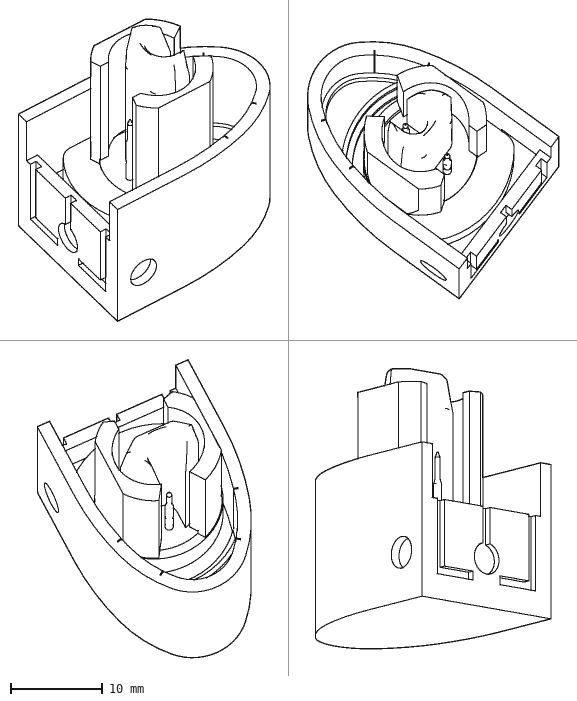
import cadquery as cq
import math

width = 18.4
depth = 26.0
height = 28.3
clearance = 0.1

wall = 1.5
shell_height = 17.32
front_wall_height = 11.3
side_radius = 31.13
shoulder_radius = 15.45
flank_angle = 16.6
shoulder_angle = 42.4

shelf_z = 7.0
ledge_z = 6.0
pocket_floor_z = 5.0
lens_offset = 1.13
ledge_lens_radius = 9.65
floor_lens_radius = 8.95
rib = 0.5
slit_width = 0.1
slit_depth = 0.5
flank_slit_angle = 13.8
shoulder_slit_angle = 35.4

slot_width = 1.0
slot_depth = 0.8
slot_reach = 7.0
slot_bottom = 2.83
slot_foot = 5.07
recess_radius = 1.75
recess_z = 5.52
side_recess_y = 3.55
side_recess_depth = 1.1

socket_y = 11.4
plate_top = 10.67
plate_half_width = 7.0
plate_front_radius = 10.65
plate_corner = 2.0
plate_half_x = 7.22
plate_half_y = 6.6
arm_top = 25.8
arm_inner_x = 5.18
arm_inner_y = 4.55
arm_flat_x = 6.0
flare_start_z = 13.6
flare_angle = 11.6
front_gap_half = 3.0
front_gap_y = 6.6
front_end_x = 4.33
front_end_y = 6.15
back_gap_inner_x = 1.73
back_gap_inner_y = 15.7
back_gap_outer_x = 2.91
back_gap_outer_y = 17.45

bore_half_x = 6.2
bore_half_y = 5.55
bore_top = 11.25
core_top = 9.93
tongue_gap = 0.6
tongue_front_y = 9.65
tongue_side_y = 11.32
tongue_front_half = 2.52
tongue_corner = 1.0
taper_z = 24.25
taper_angle = 9.1
tongue_rounding = 0.5
channel_radius = 1.55
channel_y = 13.05

pin_y = (8.43, 14.12)
pin_radius = 0.45
pin_tip_radius = 0.28
pin_groove_radius = 0.4
pin_point_radius = 0.05
pin_groove_start = 11.9
pin_groove_middle = 12.28
pin_groove_end = 12.62
pin_barrel_end = 15.25
pin_tip_start = 15.8
pin_tip_end = 18.23
pin_top = 18.85


def polar(centre, radius, angle):
    """Point at the given radius and angle (degrees) around a centre."""
    return (
        centre[0] + radius * math.cos(math.radians(angle)),
        centre[1] + radius * math.sin(math.radians(angle)),
    )


def mirrored(point):
    return (-point[0], point[1])


def ellipse_prism(half_x, half_y, bottom, top):
    """Upright elliptical prism centred on the socket."""
    return (
        cq.Workplane("XY", origin=(0, socket_y, bottom))
        .ellipse(half_x, half_y)
        .extrude(top - bottom)
    )


def disc(radius, centre_y, bottom, top):
    return cq.Workplane("XY", origin=(0, centre_y, bottom)).circle(radius).extrude(top - bottom)


def lens_prism(radius, bottom, top):
    """Overlap of two discs placed in front of and behind the socket centre."""
    front_disc = disc(radius, socket_y - lens_offset, bottom, top)
    back_disc = disc(radius, socket_y + lens_offset, bottom, top)
    return front_disc.intersect(back_disc)


flank_end_x = width / 2 - side_radius * (1 - math.cos(math.radians(flank_angle)))
shoulder_centre_x = flank_end_x - shoulder_radius * math.cos(math.radians(flank_angle))
nose_radius = shoulder_radius + shoulder_centre_x / math.cos(math.radians(shoulder_angle))
nose_centre = (0, depth - nose_radius)
shoulder_centre = polar(nose_centre, nose_radius - shoulder_radius, shoulder_angle)
flank_centre = polar(shoulder_centre, shoulder_radius - side_radius, flank_angle)


def bullet_prism(inset, front_y, bottom, top):
    """Housing outline moved inwards by the inset, cut square at front_y."""
    flank = side_radius - inset
    shoulder = shoulder_radius - inset
    nose = nose_radius - inset
    flank_start = polar(flank_centre, flank, 0)
    flank_middle = polar(flank_centre, flank, flank_angle / 2)
    flank_end = polar(flank_centre, flank, flank_angle)
    shoulder_middle = polar(shoulder_centre, shoulder, (flank_angle + shoulder_angle) / 2)
    shoulder_end = polar(shoulder_centre, shoulder, shoulder_angle)
    apex = polar(nose_centre, nose, 90)
    return (
        cq.Workplane("XY", origin=(0, 0, bottom))
        .moveTo(flank_start[0], front_y)
        .lineTo(*flank_start)
        .threePointArc(flank_middle, flank_end)
        .threePointArc(shoulder_middle, shoulder_end)
        .threePointArc(apex, mirrored(shoulder_end))
        .threePointArc(mirrored(shoulder_middle), mirrored(flank_end))
        .threePointArc(mirrored(flank_middle), mirrored(flank_start))
        .lineTo(-flank_start[0], front_y)
        .close()
        .extrude(top - bottom)
    )


def make_slits():
    """Fine upright slits, square to the inner wall, two on each side."""
    places = (
        (flank_centre, side_radius - wall, flank_slit_angle),
        (shoulder_centre, shoulder_radius - wall, shoulder_slit_angle),
    )
    slits = cq.Workplane("XY")
    for centre, inner_radius, angle in places:
        x, y = polar(centre, inner_radius, angle)
        slit = (
            cq.Workplane("XY")
            .box(2 * slit_depth, slit_width, shell_height - shelf_z, centered=(True, True, False))
            .rotate((0, 0, 0), (0, 0, 1), angle)
            .translate((x, y, shelf_z))
        )
        slits = slits.add(slit).add(slit.mirror("YZ"))
    return slits.combine()


def make_front_slots():
    """Two mirrored L-shaped slots and one upright slot, all open at the top of the front wall."""
    slot_plane = cq.Workplane("XZ", origin=(0, slot_depth, 0))
    leg_inner = slot_reach - slot_width
    foot_end = slot_reach - slot_foot
    right_slot = (
        slot_plane.moveTo(slot_reach, front_wall_height)
        .lineTo(slot_reach, slot_bottom)
        .lineTo(foot_end, slot_bottom)
        .lineTo(foot_end, slot_bottom + slot_width)
        .lineTo(leg_inner, slot_bottom + slot_width)
        .lineTo(leg_inner, front_wall_height)
        .close()
        .extrude(slot_depth)
    )
    middle_slot = (
        slot_plane.moveTo(-slot_width / 2, recess_z)
        .rect(slot_width, front_wall_height - recess_z, centered=False)
        .extrude(slot_depth)
    )
    round_recess = slot_plane.center(0, recess_z).circle(recess_radius).extrude(slot_depth)
    return right_slot.union(right_slot.mirror("YZ")).union(middle_slot).union(round_recess)


def make_side_recesses():
    """Two blind round recesses, one in each side."""
    recess = (
        cq.Workplane("YZ", origin=(width / 2 - side_recess_depth, side_recess_y, recess_z))
        .circle(recess_radius)
        .extrude(side_recess_depth)
    )
    return recess.union(recess.mirror("YZ"))


def make_housing():
    shell = bullet_prism(0, 0, 0, shell_height)
    cavity = bullet_prism(wall, wall, shelf_z, shell_height)
    front_opening = cq.Workplane("XY", origin=(0, 0, front_wall_height)).box(
        width - 2 * wall, 2 * wall, shell_height - front_wall_height, centered=(True, True, False)
    )
    ledge_pocket = lens_prism(ledge_lens_radius, ledge_z, shelf_z)
    floor_pocket = lens_prism(floor_lens_radius, pocket_floor_z, ledge_z)
    lens_pocket = ledge_pocket.union(floor_pocket).intersect(
        bullet_prism(wall, wall, pocket_floor_z, shelf_z)
    )
    nose_pocket = bullet_prism(wall + rib, socket_y, pocket_floor_z, shelf_z).cut(
        disc(ledge_lens_radius + rib, socket_y - lens_offset, pocket_floor_z, shelf_z)
    )
    return (
        shell.cut(cavity)
        .cut(front_opening)
        .cut(lens_pocket)
        .cut(nose_pocket)
        .cut(make_slits())
        .cut(make_front_slots())
        .cut(make_side_recesses())
    )


def make_plate():
    """D-shaped front joined to an elliptical back."""
    front_centre_y = socket_y + lens_offset
    front_block = cq.Workplane("XY", origin=(0, 0, shelf_z)).box(
        2 * plate_half_width, socket_y, plate_top - shelf_z, centered=(True, False, False)
    )
    front = (
        disc(plate_front_radius, front_centre_y, shelf_z, plate_top)
        .intersect(front_block)
        .edges("|Z")
        .edges("<Y")
        .fillet(plate_corner)
    )
    return front.union(ellipse_prism(plate_half_x, plate_half_y, shelf_z, plate_top))


def make_arm_trim():
    """Flat cut on the right arm that flares outwards near the plate."""
    flare_x = arm_flat_x + (flare_start_z - plate_top) * math.tan(math.radians(flare_angle))
    return (
        cq.Workplane("XZ", origin=(0, depth, 0))
        .moveTo(arm_flat_x, arm_top)
        .lineTo(arm_flat_x, flare_start_z)
        .lineTo(flare_x, plate_top)
        .lineTo(width / 2, plate_top)
        .lineTo(width / 2, arm_top)
        .close()
        .extrude(depth)
    )


def make_arm_gaps():
    """Openings between the arms at the front and at the back."""
    gap_plane = cq.Workplane("XY", origin=(0, 0, plate_top))
    arm_height = arm_top - plate_top
    front_gap = (
        gap_plane.moveTo(-front_gap_half, socket_y)
        .lineTo(-front_gap_half, front_gap_y)
        .lineTo(-front_end_x, front_end_y)
        .lineTo(-front_end_x, 0)
        .lineTo(front_end_x, 0)
        .lineTo(front_end_x, front_end_y)
        .lineTo(front_gap_half, front_gap_y)
        .lineTo(front_gap_half, socket_y)
        .close()
        .extrude(arm_height)
    )
    back_gap = (
        gap_plane.moveTo(-back_gap_inner_x, socket_y)
        .lineTo(-back_gap_inner_x, back_gap_inner_y)
        .lineTo(-back_gap_outer_x, back_gap_outer_y)
        .lineTo(-back_gap_outer_x, depth)
        .lineTo(back_gap_outer_x, depth)
        .lineTo(back_gap_outer_x, back_gap_outer_y)
        .lineTo(back_gap_inner_x, back_gap_inner_y)
        .lineTo(back_gap_inner_x, socket_y)
        .close()
        .extrude(arm_height)
    )
    return front_gap.union(back_gap)


def make_socket():
    trim = make_arm_trim()
    arms = (
        ellipse_prism(plate_half_x - clearance, plate_half_y - clearance, plate_top, arm_top)
        .cut(ellipse_prism(arm_inner_x, arm_inner_y, plate_top, arm_top))
        .cut(make_arm_gaps())
        .cut(trim)
        .cut(trim.mirror("YZ"))
    )
    bore = ellipse_prism(bore_half_x, bore_half_y, shelf_z, bore_top)
    return make_plate().union(arms).cut(bore)


def tongue_outline(z):
    """Elliptical back, slanted front sides and a flat front."""
    half_x = arm_inner_x - tongue_gap
    half_y = arm_inner_y - tongue_gap
    return (
        cq.Workplane("XY", origin=(0, 0, z))
        .moveTo(-tongue_front_half, tongue_front_y)
        .lineTo(tongue_front_half, tongue_front_y)
        .lineTo(half_x, tongue_side_y)
        .ellipseArc(half_x, half_y, 0, 180, startAtCurrent=True)
        .close()
    )


def channel_outline(z):
    """U shape, open towards the back."""
    return (
        cq.Workplane("XY", origin=(0, 0, z))
        .moveTo(channel_radius, depth)
        .lineTo(channel_radius, channel_y)
        .threePointArc((0, channel_y - channel_radius), (-channel_radius, channel_y))
        .lineTo(-channel_radius, depth)
        .close()
    )


def round_front_corners(tongue_part):
    """Fillet the upright edges between the flat front and the slanted sides."""
    for side in (-1, 1):
        corner_edge = cq.selectors.BoxSelector(
            (side * tongue_front_half / 2, tongue_front_y - wall, core_top),
            (side * (tongue_front_half + clearance), tongue_side_y, height - clearance),
        )
        tongue_part = tongue_part.edges(corner_edge).fillet(tongue_corner)
    return tongue_part


def make_stem():
    """Straight part of the tongue with a straight channel."""
    stem_height = taper_z - core_top
    stem = round_front_corners(tongue_outline(core_top).extrude(stem_height))
    return stem.cut(channel_outline(core_top).extrude(stem_height))


def make_tip():
    """Tapered part of the tongue; its channel widens upwards and all top edges are rounded."""
    tip_height = height - taper_z
    tip = round_front_corners(tongue_outline(taper_z).extrude(tip_height, taper=taper_angle))
    tip = tip.faces(">Z").edges().fillet(tongue_rounding)
    channel_mouth = cq.selectors.BoxSelector(
        (-arm_inner_x, 0, height - clearance), (arm_inner_x, depth, height + clearance)
    )
    channel_block = (
        cq.Workplane("XY", origin=(0, 0, taper_z))
        .rect(width, 2 * depth)
        .extrude(tip_height)
        .cut(channel_outline(taper_z).extrude(tip_height, taper=-taper_angle))
        .edges(channel_mouth)
        .fillet(tongue_rounding)
    )
    return tip.intersect(channel_block)


def make_core(pins):
    base = ellipse_prism(bore_half_x - clearance, bore_half_y - clearance, pocket_floor_z, core_top)
    core = base.union(make_stem()).union(make_tip())
    for pin in pins:
        core = core.cut(pin)
    return core


def make_pin(y):
    """Turned spring contact with a groove, a thin plunger and a pointed tip."""
    profile = (
        (0, pocket_floor_z),
        (pin_radius, pocket_floor_z),
        (pin_radius, pin_groove_start),
        (pin_groove_radius, pin_groove_middle),
        (pin_radius, pin_groove_end),
        (pin_radius, pin_barrel_end),
        (pin_tip_radius, pin_tip_start),
        (pin_tip_radius, pin_tip_end),
        (pin_point_radius, pin_top),
        (0, pin_top),
    )
    return (
        cq.Workplane("XZ", origin=(0, y, 0))
        .polyline(profile)
        .close()
        .revolve(360, (0, 0, 0), (0, 1, 0))
    )


pins = [make_pin(y) for y in pin_y]
housing = make_housing()
socket = make_socket()
core = make_core(pins)

result = cq.Compound.makeCompound(
    [housing.val(), socket.val(), core.val(), *[pin.val() for pin in pins]]
)